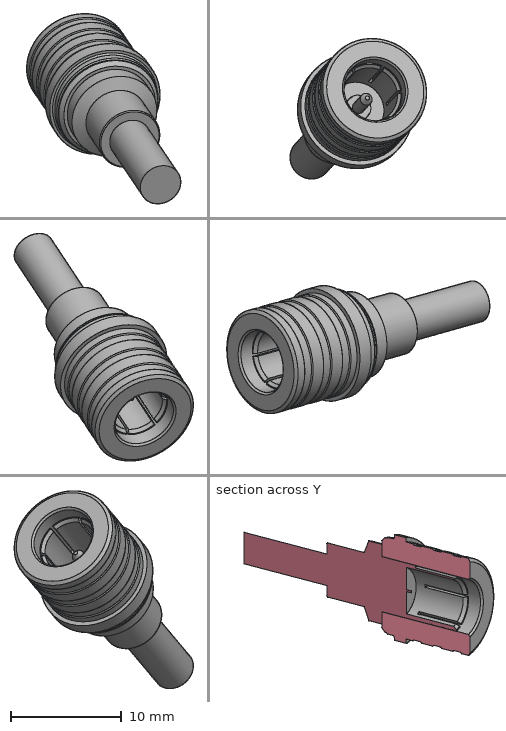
import cadquery as cq

LENGTH = 26.15

SLEEVE_END = 10.25
SLEEVE_RADIUS = 4.8
FRONT_CHAMFER_LENGTH = 0.2
FRONT_CHAMFER_DEPTH = 0.31
FLANGE_RADIUS = 5.2
FLANGE_START = 7.37
FLANGE_END = 8.75
REAR_CONE_SIZE = 0.15
NECK_RADIUS = 4.78
NECK_END = 9.55
REAR_BAND_START = 9.7
REAR_BAND_END = 9.85
REAR_BAND_RADIUS = 4.68
SLEEVE_END_RADIUS = 4.31

GROOVE_COUNT = 3
GROOVE_START = 1.02
GROOVE_PITCH = 2.3
GROOVE_WIDTH = 1.02
GROOVE_DEPTH = 0.1
GROOVE_FLANK = 0.1

BORE_RADIUS = 2.85
BORE_CHAMFER = 0.18

FINGER_START = 1.57
FINGER_CHAMFER_LENGTH = 0.31
FINGER_CHAMFER_DEPTH = 0.25
SOCKET_RADIUS = 2.48
SOCKET_FLOOR = 7.32
SLOT_COUNT = 6
SLOT_WIDTH = 0.25
SLOT_END = 6.27
SLOT_ANGLE = 7.4

PIN_TIP = 3.14
PIN_TIP_LENGTH = 0.52
PIN_TIP_RADIUS = 0.18
PIN_RADIUS = 0.55
PIN_BOSS_START = 6.8
PIN_BOSS_RADIUS = 1.15

COLLAR_RADIUS = 4.0
COLLAR_END = 11.74
COLLAR_CONE_END = 12.25
FERRULE_RADIUS = 2.85
FERRULE_END = 16.57
FERRULE_CHAMFER = 0.1
CABLE_RADIUS = 1.9


def revolve_about_x(points):
    """Turn a closed outline of (x, radius) points about the X axis."""
    return cq.Workplane("XY").polyline(points).close().revolve(360, (0, 0, 0), (1, 0, 0))


def groove_points(start):
    """Outline points of one grip groove, from its front edge to its rear edge."""
    end = start + GROOVE_WIDTH
    floor_radius = SLEEVE_RADIUS - GROOVE_DEPTH
    return [
        (start, SLEEVE_RADIUS),
        (start + GROOVE_FLANK, floor_radius),
        (end - GROOVE_FLANK, floor_radius),
        (end, SLEEVE_RADIUS),
    ]


def make_sleeve():
    outline = [
        (BORE_CHAMFER, BORE_RADIUS),
        (0, BORE_RADIUS + BORE_CHAMFER),
        (0, SLEEVE_RADIUS - FRONT_CHAMFER_DEPTH),
        (FRONT_CHAMFER_LENGTH, SLEEVE_RADIUS),
    ]
    for index in range(GROOVE_COUNT):
        outline += groove_points(GROOVE_START + index * GROOVE_PITCH)
    outline += [
        (FLANGE_START, SLEEVE_RADIUS),
        (FLANGE_START, FLANGE_RADIUS),
        (FLANGE_END, FLANGE_RADIUS),
        (FLANGE_END, NECK_RADIUS + REAR_CONE_SIZE),
        (FLANGE_END + REAR_CONE_SIZE, NECK_RADIUS),
        (NECK_END, NECK_RADIUS),
        (REAR_BAND_START, REAR_BAND_RADIUS),
        (REAR_BAND_END, REAR_BAND_RADIUS),
        (SLEEVE_END, SLEEVE_END_RADIUS),
        (SLEEVE_END, BORE_RADIUS),
    ]
    return revolve_about_x(outline)


def make_body_blank():
    """Connector body with its pin, ferrule and cable, before the slots are cut."""
    return revolve_about_x([
        (PIN_TIP, 0),
        (PIN_TIP, PIN_TIP_RADIUS),
        (PIN_TIP + PIN_TIP_LENGTH, PIN_RADIUS),
        (PIN_BOSS_START, PIN_RADIUS),
        (PIN_BOSS_START, PIN_BOSS_RADIUS),
        (SOCKET_FLOOR, PIN_BOSS_RADIUS),
        (SOCKET_FLOOR, SOCKET_RADIUS),
        (FINGER_START + FINGER_CHAMFER_LENGTH, SOCKET_RADIUS),
        (FINGER_START, SOCKET_RADIUS + FINGER_CHAMFER_DEPTH),
        (FINGER_START, BORE_RADIUS),
        (SLEEVE_END, BORE_RADIUS),
        (SLEEVE_END, COLLAR_RADIUS),
        (COLLAR_END, COLLAR_RADIUS),
        (COLLAR_CONE_END, FERRULE_RADIUS),
        (FERRULE_END - FERRULE_CHAMFER, FERRULE_RADIUS),
        (FERRULE_END, FERRULE_RADIUS - FERRULE_CHAMFER),
        (FERRULE_END, CABLE_RADIUS),
        (LENGTH, CABLE_RADIUS),
        (LENGTH, 0),
    ])


def make_slot_cutter(index):
    """Block that cuts one slot through the socket wall, between two fingers."""
    wall = BORE_RADIUS - SOCKET_RADIUS
    cutter_height = 2 * wall
    cutter = cq.Workplane("XY").box(
        SLOT_END - FINGER_START, cutter_height, SLOT_WIDTH, centered=(False, True, True)
    )
    cutter = cutter.translate((FINGER_START, -(SOCKET_RADIUS + wall / 2), 0))
    angle = SLOT_ANGLE + index * 360 / SLOT_COUNT
    return cutter.rotate((0, 0, 0), (1, 0, 0), -angle)


def make_connector_body():
    body = make_body_blank()
    for index in range(SLOT_COUNT):
        body = body.cut(make_slot_cutter(index))
    return body


sleeve = make_sleeve()
connector_body = make_connector_body()

result = cq.Compound.makeCompound([sleeve.val(), connector_body.val()])